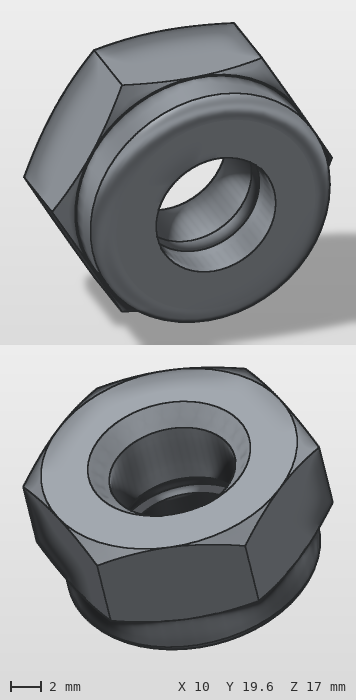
import cadquery as cq
import math

corner_width = 19.63
flats_width = corner_width * math.cos(math.radians(30))
total_length = 10.0
hex_length = 6.5
corner_chamfer_angle = 30

collar_diameter = 16.8
rim_length = 1.02
rim_radius = 1.51

bore_diameter = 8.38
countersink_diameter = 10.8
recess_diameter = 10.0
recess_length = 0.59


def revolve_about_x(profile):
    """Turn a closed (axial, radial) profile about the X axis."""
    return profile.close().revolve(360, (0, 0, 0), (1, 0, 0))


def make_hex():
    """Hexagon with corners on Y, both ends cut back by a cone touching the flats."""
    prism = cq.Workplane("YZ").polygon(6, corner_width).extrude(hex_length)
    face_radius = flats_width / 2
    outer_radius = corner_width / 2
    cone_length = (outer_radius - face_radius) * math.tan(math.radians(corner_chamfer_angle))
    envelope = revolve_about_x(
        cq.Workplane("XY")
        .lineTo(0, face_radius)
        .lineTo(cone_length, outer_radius)
        .lineTo(hex_length - cone_length, outer_radius)
        .lineTo(hex_length, face_radius)
        .lineTo(hex_length, 0)
    )
    return prism.intersect(envelope)


def make_collar():
    """Round collar whose rolled rim meets the end face tangentially."""
    radius = collar_diameter / 2
    rim_start = total_length - rim_length
    center_x = total_length - rim_radius
    start_angle = math.acos((rim_start - center_x) / rim_radius)
    center_r = radius - rim_radius * math.sin(start_angle)
    mid_angle = start_angle / 2
    rim_middle = (
        center_x + rim_radius * math.cos(mid_angle),
        center_r + rim_radius * math.sin(mid_angle),
    )
    return revolve_about_x(
        cq.Workplane("XY")
        .moveTo(hex_length / 2, 0)
        .lineTo(hex_length / 2, radius)
        .lineTo(rim_start, radius)
        .threePointArc(rim_middle, (total_length, center_r))
        .lineTo(total_length, 0)
    )


def make_bore():
    """Through bore with a 45 degree countersink and a wider recess inside.

    The bore flares at 45 degrees to reach the recess at the end of the hexagon.
    """
    bore_radius = bore_diameter / 2
    countersink_radius = countersink_diameter / 2
    countersink_depth = countersink_radius - bore_radius
    recess_radius = recess_diameter / 2
    flare_start = hex_length - (recess_radius - bore_radius)
    recess_end = hex_length + recess_length
    return revolve_about_x(
        cq.Workplane("XY")
        .lineTo(0, countersink_radius)
        .lineTo(countersink_depth, bore_radius)
        .lineTo(flare_start, bore_radius)
        .lineTo(hex_length, recess_radius)
        .lineTo(recess_end, recess_radius)
        .lineTo(recess_end, bore_radius)
        .lineTo(total_length, bore_radius)
        .lineTo(total_length, 0)
    )


result = make_hex().union(make_collar()).cut(make_bore())